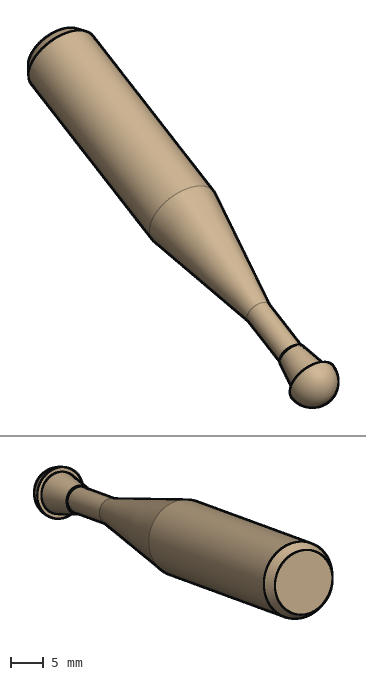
import cadquery as cq
import math

overall_length = 80.75
shank_end = 38.0
taper_end = 60.65
collar_start = 70.65

shank_radius = 12.0 / 2
neck_radius = 2.1
collar_small_radius = 2.3
collar_large_radius = 3.3
dome_radius = 4.0

chamfer_depth = 1.0
chamfer_length = 1.8

dome_face = overall_length - dome_radius


def revolve_about_x(profile):
    """Turn a closed half-profile in the XY plane fully around the X axis."""
    return profile.close().revolve(360, (0, 0, 0), (1, 0, 0))


def make_holder():
    """Chamfered cylindrical shank that tapers down to a slender neck."""
    profile = (
        cq.Workplane("XY")
        .lineTo(0, shank_radius - chamfer_depth)
        .lineTo(chamfer_length, shank_radius)
        .lineTo(shank_end, shank_radius)
        .lineTo(taper_end, neck_radius)
        .lineTo(collar_start, neck_radius)
        .lineTo(collar_start, 0)
    )
    return revolve_about_x(profile)


def make_collar():
    """Cone that flares from the neck to the dome."""
    profile = (
        cq.Workplane("XY")
        .moveTo(collar_start, 0)
        .lineTo(collar_start, collar_small_radius)
        .lineTo(dome_face, collar_large_radius)
        .lineTo(dome_face, 0)
    )
    return revolve_about_x(profile)


def make_dome():
    """Hemispherical tip with its flat face against the collar."""
    arc_offset = dome_radius * math.sqrt(0.5)
    profile = (
        cq.Workplane("XY")
        .moveTo(dome_face, 0)
        .lineTo(dome_face, dome_radius)
        .threePointArc((dome_face + arc_offset, arc_offset), (overall_length, 0))
    )
    return revolve_about_x(profile)


holder = make_holder()
collar = make_collar()
dome = make_dome()

result = cq.Compound.makeCompound([holder.val(), collar.val(), dome.val()])